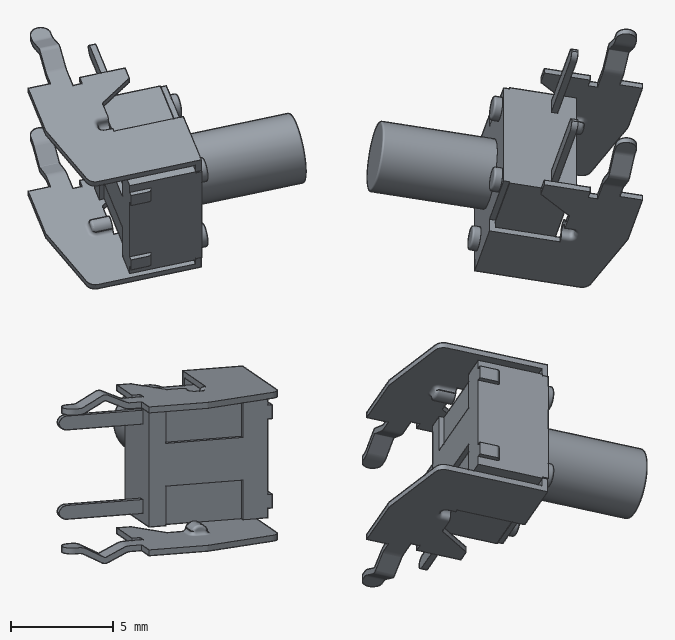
import cadquery as cq
import math


body_size = 6.15
body_back = -3.68
sheet = 0.3
cover_height = 6.0
pocket_left = -2.2
pocket_right = 1.78
pocket_height = 2.0
pocket_depth = 0.25

stem_diameter = 3.5
stem_length = 5.75
stem_round = 0.1
rivet_diameter = 1.2
rivet_height = 0.4
rivet_round = 0.1
rivet_offset = 2.28

terminal_offset = 2.25
pin_width = 0.7
pin_thickness = 0.32
pin_front = -2.4
pin_tip = -7.4
pin_tip_length = 0.4
foot_front = -2.6
foot_right = 3.3
foot_round = 0.2

plate_outer = 3.75
plate_inner = plate_outer - sheet
plate_left = -4.11
plate_right = 3.0
plate_back = -6.75
ear_left = -0.1
arm_front = -1.8
arm_corner = -3.38
inner_edge = -3.55
inner_corner = -2.1
slot_front = -4.12
slot_right = -3.68
back_corner = -1.07
back_slope = math.radians(15)
plate_round = 0.5

tail_tip = -8.05
tail_front = -4.59
tail_width = 1.02
tail_end_mid = 3.5
tail_end_bend = -7.17
tail_peak_x = -6.0
tail_peak_mid = 4.123
tail_root_bend = -4.85
tail_bend_round = 0.47
tail_peak_round = 0.05

lug_x = -0.72
lug_end = -4.57
lug_half_width = 0.42
lug_depth = 0.48
lug_corner = 0.2
lug_crown_round = 0.15
lug_foot_round = 0.2
lug_cavity_half_width = 0.3
lug_cavity_end = -4.15
lug_mouth_round = 0.22

mirror_signs = (-1, 1)


def box(x_min, x_max, y_min, y_max, z_min, z_max):
    size = (x_max - x_min, y_max - y_min, z_max - z_min)
    return cq.Workplane("XY").box(*size, centered=False).translate((x_min, y_min, z_min))


def front_cylinder(x, z, diameter, height, edge_round):
    """Cylinder standing on the front cover along +Y, rounded at its free end."""
    cylinder = cq.Workplane("XZ").center(x, z).circle(diameter / 2).extrude(-height)
    return cylinder.faces(">Y").edges().fillet(edge_round)


def make_housing():
    """Housing block with two shallow pockets in its back, closed by the metal front cover."""
    half = body_size / 2
    housing = box(-half, half, body_back, -sheet, -half, half)
    pocket_front = body_back + pocket_depth
    for z_min in (-half, half - pocket_height):
        housing = housing.cut(
            box(pocket_left, pocket_right, body_back, pocket_front, z_min, z_min + pocket_height)
        )
    cover = box(-half, half, -sheet, 0, -cover_height / 2, cover_height / 2)
    return housing.union(cover)


def make_terminal(z):
    """Pin with a slightly pointed round tip, and the foot in line with it."""
    half_width = pin_width / 2
    housing_side = body_size / 2
    pin = (
        cq.Workplane("XZ", origin=(0, pin_front, z))
        .moveTo(-housing_side, 0)
        .lineTo(-housing_side, half_width)
        .lineTo(pin_tip + pin_tip_length, half_width)
        .tangentArcPoint((pin_tip, 0), relative=False)
        .mirrorX()
        .extrude(pin_thickness)
    )
    foot = (
        box(housing_side, foot_right, body_back, foot_front, z - half_width, z + half_width)
        .edges("|Z and >X and >Y")
        .fillet(foot_round)
    )
    return pin.union(foot)


def make_plate():
    """Side plate on the +Z side with the ear that reaches forward to the front cover."""
    corner_y = plate_back + (plate_right - back_corner) * math.tan(back_slope)
    plate = (
        cq.Workplane("XY")
        .workplane(offset=plate_inner)
        .moveTo(plate_left, arm_front)
        .lineTo(arm_corner, arm_front)
        .lineTo(inner_corner, inner_edge)
        .lineTo(ear_left, inner_edge)
        .lineTo(ear_left, 0)
        .lineTo(plate_right, 0)
        .lineTo(plate_right, corner_y)
        .lineTo(back_corner, plate_back)
        .lineTo(plate_left, plate_back)
        .lineTo(plate_left, tail_front)
        .lineTo(slot_right, tail_front)
        .lineTo(slot_right, slot_front)
        .lineTo(plate_left, slot_front)
        .close()
        .extrude(sheet)
    )
    back_edge = cq.selectors.NearestToPointSelector((plate_right, corner_y, plate_outer - sheet / 2))
    plate = plate.edges(back_edge).fillet(plate_round)
    lip = box(ear_left, plate_right, -sheet, 0, cover_height / 2 - sheet, plate_outer)
    return plate.union(lip)


def miter_point(x, z, angle_before, angle_after, distance):
    """Corner of a strip face at the given distance from a bend (x, z) of its mid line."""
    normal_angle = (angle_before + angle_after) / 2
    reach = distance / math.cos((angle_after - angle_before) / 2)
    return (x - reach * math.sin(normal_angle), z + reach * math.cos(normal_angle))


def make_tail():
    """Strip that leaves the plate, bends outwards to a peak and returns to a straight round end."""
    half = sheet / 2
    root_mid = plate_outer - half
    rise_angle = math.atan2(tail_peak_mid - tail_end_mid, tail_peak_x - tail_end_bend)
    fall_angle = math.atan2(root_mid - tail_peak_mid, tail_root_bend - tail_peak_x)
    bends = (
        (tail_end_bend, tail_end_mid, 0, rise_angle),
        (tail_peak_x, tail_peak_mid, rise_angle, fall_angle),
        (tail_root_bend, root_mid, fall_angle, 0),
    )
    outer_corners = [miter_point(*bend, half) for bend in bends]
    inner_corners = [miter_point(*bend, -half) for bend in bends]
    outline = [(tail_tip, tail_end_mid + half)]
    outline += outer_corners
    outline += [(slot_right, plate_outer), (slot_right, plate_inner)]
    outline += reversed(inner_corners)
    outline += [(tail_tip, tail_end_mid - half)]
    strip = cq.Workplane("XZ", origin=(0, tail_front, 0)).polyline(outline).close().extrude(tail_width)

    outer_rounds = (tail_bend_round, tail_peak_round + sheet, tail_bend_round)
    inner_rounds = (tail_bend_round + sheet, tail_peak_round, tail_bend_round + sheet)
    for (x, z), radius in zip(outer_corners + inner_corners, outer_rounds + inner_rounds):
        bend_edge = cq.selectors.NearestToPointSelector((x, tail_front - tail_width / 2, z))
        strip = strip.edges(bend_edge).fillet(radius)
    half_width = tail_width / 2
    end_blank = (
        cq.Workplane("XY")
        .moveTo(slot_right, tail_front)
        .lineTo(tail_tip + half_width, tail_front)
        .threePointArc(
            (tail_tip, tail_front - half_width), (tail_tip + half_width, tail_front - tail_width)
        )
        .lineTo(slot_right, tail_front - tail_width)
        .close()
        .extrude(tail_peak_mid + sheet)
    )
    return strip.intersect(end_blank)


def trough(half_width, end_y, top_z, shoulder_z, crown_z):
    """Prism along Y from the inner plate edge: straight sides, arched below and round at its end."""
    prism = (
        cq.Workplane("XZ", origin=(lug_x, inner_edge, 0))
        .moveTo(-half_width, top_z)
        .lineTo(-half_width, shoulder_z)
        .threePointArc((0, crown_z), (half_width, shoulder_z))
        .lineTo(half_width, top_z)
        .close()
        .extrude(inner_edge - end_y)
    )
    return prism.edges("|Z and <Y").fillet(lug_corner)


def cove(half_width, end_y, face_z, radius):
    """Concave rim around a trough wall, tangent to that wall and to the plate face at face_z."""
    straight_end = end_y + lug_corner
    corner_x = half_width - lug_corner
    diagonal = lug_corner * math.sqrt(0.5)
    path = (
        cq.Workplane("XY", origin=(lug_x, 0, face_z))
        .moveTo(-half_width, inner_edge)
        .lineTo(-half_width, straight_end)
        .threePointArc((-corner_x - diagonal, straight_end - diagonal), (-corner_x, end_y))
        .lineTo(corner_x, end_y)
        .threePointArc((corner_x + diagonal, straight_end - diagonal), (half_width, straight_end))
        .lineTo(half_width, inner_edge)
    )
    arc_reach = radius * (1 - math.sqrt(0.5))
    return (
        cq.Workplane("XZ", origin=(lug_x - half_width, inner_edge, face_z))
        .lineTo(-radius, 0)
        .threePointArc((-arc_reach, -arc_reach), (0, -radius))
        .close()
        .sweep(path)
    )


def press_lug(plate):
    """Press an arched lug through the plate towards the housing, hollow from the outside."""
    shoulder_z = plate_inner - lug_foot_round
    lug = trough(lug_half_width, lug_end, plate_inner, shoulder_z, plate_inner - lug_depth)
    lug = lug.faces("<Z").edges("<Y").fillet(lug_crown_round)
    foot = cove(lug_half_width, lug_end, plate_inner, lug_foot_round)
    cavity_shoulder = plate_outer - lug_mouth_round
    cavity_crown = cavity_shoulder - lug_cavity_half_width
    cavity = trough(lug_cavity_half_width, lug_cavity_end, plate_outer, cavity_shoulder, cavity_crown)
    mouth = cove(lug_cavity_half_width, lug_cavity_end, plate_outer, lug_mouth_round)
    return plate.union(lug).union(foot).cut(cavity).cut(mouth)


side_plate = press_lug(make_plate().union(make_tail()))
result = make_housing().union(front_cylinder(0, 0, stem_diameter, stem_length, stem_round))
for x_sign in mirror_signs:
    for z_sign in mirror_signs:
        rivet = front_cylinder(
            x_sign * rivet_offset, z_sign * rivet_offset, rivet_diameter, rivet_height, rivet_round
        )
        result = result.union(rivet)
for z_sign in mirror_signs:
    result = result.union(make_terminal(z_sign * terminal_offset))
result = result.union(side_plate).union(side_plate.mirror("XY"))